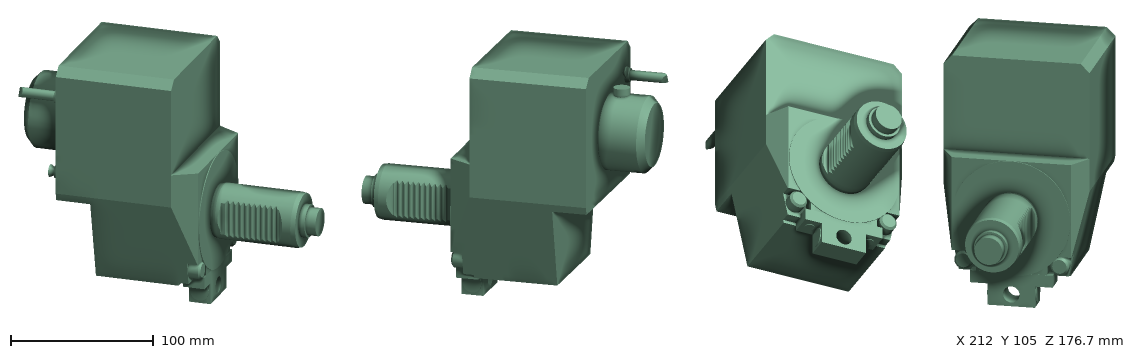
import cadquery as cq
import math


body_width = 105.0
half_width = body_width / 2
top_z = 112.0
top_chamfer = 6.4
block_left = -103.0
block_right = -17.4
block_bottom = 13.0
lower_left = -77.8
lower_bottom = -45.0
taper_start_z = 18.2
side_taper = 12.0
step_z = 42.5
bevel_angle = 30.0

disc_radius = 42.5
disc_thick = 0.6
back_face = -disc_thick

nose_z = 59.5
nose_left = -137.0
nose_right = -104.3
nose_radius = 27.5
nose_chamfer = 4.9
neck_radius = 24.8
key_x = -113.0
key_radius = 6.0
key_top = 92.5

nozzle_y = -43.9
upper_nozzle_z = 87.8
lower_nozzle_z = 31.5
seat_radius = 5.5
seat_height = 3.0
tube_radius = 3.5
tube_end = -133.1
tube_tip_turn = 30.0
plug_neck_radius = 2.5
plug_head_radius = 4.7
plug_end = -110.0
screw_y = -36.5
upper_screw_z = 92.0
lower_screw_z = 27.3
screw_radius = 4.0
screw_rim = 0.5
screw_cone = 2.0

shank_radius = 20.0
relief_radius = 19.3
relief_end = 1.3
front_chamfer_end = 3.8
rear_chamfer_start = 59.8
shank_end = 63.2
pilot_radius = 11.9
pilot_end = 67.6
tip_radius = 10.0
tip_end = 75.0

crest_y = 16.1
valley_y = 14.5
valley_count = 10
first_valley = 11.7
last_valley = 47.5
valley_half_width = 1.7
flat_start = 7.0
flat_start_bevel = 1.3
flat_end_outer = 53.8

lug_left = -16.5
lug_right = -0.5
lug_half_width = 17.0
lug_bottom = -64.7
flange_half_width = 29.7
flange_bottom = -49.0
lug_recess_top = -42.6
lug_step_x = -9.0
lug_step_top = -40.0
lug_hole_z = -56.0
lug_hole_radius = 6.0
lug_boss_radius = 6.8
lug_boss_height = 0.6
plug_y = 23.0
bottom_plug_radius = 3.5
bottom_plug_height = 0.5

pocket_top = -26.0
pocket_inner_y = 25.5
clamp_y = 34.5
clamp_z = -33.0
clamp_radius = 6.5
clamp_chamfer = 1.5


def box(x0, x1, y0, y1, z0, z1):
    return cq.Workplane("XY").box(x1 - x0, y1 - y0, z1 - z0, centered=False).translate((x0, y0, z0))


def turned(profile, y=0.0, z=0.0):
    """Solid of revolution about X from (x, radius) points, moved to the axis at (y, z)."""
    points = [(profile[0][0], 0)] + profile + [(profile[-1][0], 0)]
    solid = cq.Workplane("XY").polyline(points).close().revolve(360, (0, 0, 0), (1, 0, 0))
    return solid.translate((0, y, z))


def make_body():
    bottom_half = half_width - (taper_start_z - lower_bottom) * math.tan(math.radians(side_taper))
    right_side = [
        (bottom_half, lower_bottom),
        (half_width, taper_start_z),
        (half_width, top_z - top_chamfer),
        (half_width - top_chamfer, top_z),
    ]
    left_side = [(-y, z) for y, z in reversed(right_side)]
    section = cq.Workplane("YZ", origin=(block_left, 0, 0)).polyline(right_side + left_side).close()
    body = section.extrude(back_face - block_left)

    bevel_depth = (back_face - block_right) * math.tan(math.radians(bevel_angle))
    back_half = half_width - bevel_depth
    plan = (
        cq.Workplane("XY", origin=(0, 0, lower_bottom))
        .polyline([
            (block_left, -half_width),
            (block_right, -half_width),
            (back_face, -back_half),
            (back_face, back_half),
            (block_right, half_width),
            (block_left, half_width),
        ])
        .close()
        .extrude(top_z - lower_bottom)
    )
    body = body.intersect(plan)
    body = body.cut(box(block_left, lower_left, -half_width, half_width, lower_bottom, block_bottom))
    body = body.cut(box(block_right, back_face, -half_width, half_width, step_z, top_z))
    return body.union(turned([(back_face, disc_radius), (0, disc_radius)]))


def make_nose():
    nose = turned(
        [
            (nose_left, nose_radius - nose_chamfer),
            (nose_left + nose_chamfer, nose_radius),
            (nose_right, nose_radius),
            (nose_right, neck_radius),
            (block_left, neck_radius),
        ],
        z=nose_z,
    )
    key = cq.Workplane("XY", origin=(key_x, 0, nose_z)).circle(key_radius).extrude(key_top - nose_z)
    return nose.union(key)


def make_nozzle_seat(z):
    """Dome centred on the block face, cut flat where the tube or plug enters it."""
    seat_top = block_left - seat_height
    flat_radius = math.sqrt(seat_radius**2 - seat_height**2)
    mid_angle = math.asin(seat_height / seat_radius) / 2
    mid_point = (
        block_left - seat_radius * math.sin(mid_angle),
        seat_radius * math.cos(mid_angle),
    )
    dome = (
        cq.Workplane("XY")
        .moveTo(block_left, 0)
        .lineTo(seat_top, 0)
        .lineTo(seat_top, flat_radius)
        .threePointArc(mid_point, (block_left, seat_radius))
        .close()
        .revolve(360, (0, 0, 0), (1, 0, 0))
    )
    return dome.translate((0, nozzle_y, z))


def make_tube():
    """Coolant tube with a wedge-shaped tip whose ridge is turned about the tube axis."""
    wedge_x = tube_end + tube_radius
    tube = turned([(tube_end, tube_radius), (block_left, tube_radius)])
    wedge = (
        cq.Workplane("XY", origin=(0, 0, -tube_radius))
        .polyline([
            (tube_end, 0),
            (wedge_x, -tube_radius),
            (block_left, -tube_radius),
            (block_left, tube_radius),
            (wedge_x, tube_radius),
        ])
        .close()
        .extrude(2 * tube_radius)
        .rotate((0, 0, 0), (1, 0, 0), -tube_tip_turn)
    )
    return tube.intersect(wedge).translate((0, nozzle_y, upper_nozzle_z))


def make_plug():
    return turned(
        [
            (plug_end, plug_head_radius),
            (block_left - seat_height, plug_neck_radius),
            (block_left, plug_neck_radius),
        ],
        nozzle_y,
        lower_nozzle_z,
    )


def make_screw_head(z):
    cone_start = block_left - screw_cone
    return turned(
        [
            (cone_start - screw_rim, screw_radius),
            (cone_start, screw_radius),
            (block_left, screw_radius - screw_cone),
        ],
        screw_y,
        z,
    )


def make_serration_cutter():
    """Material removed from the +Y flank: a flat with V grooves and a 45 degree run-out."""
    pitch = (last_valley - first_valley) / (valley_count - 1)
    floor = [
        (flat_start - flat_start_bevel, shank_radius),
        (flat_start, shank_radius - flat_start_bevel),
        (flat_start, crest_y),
    ]
    for i in range(valley_count):
        valley_x = first_valley + i * pitch
        floor.append((valley_x - valley_half_width, crest_y))
        floor.append((valley_x, valley_y))
        floor.append((valley_x + valley_half_width, crest_y))
    runout_start = flat_end_outer - (shank_radius - crest_y)
    floor.append((runout_start, crest_y))
    floor.append((flat_end_outer, shank_radius))
    return (
        cq.Workplane("XY", origin=(0, 0, -shank_radius))
        .polyline(floor)
        .close()
        .extrude(2 * shank_radius)
    )


def make_shank():
    shank = turned([
        (0, relief_radius),
        (relief_end, relief_radius),
        (front_chamfer_end, shank_radius),
        (rear_chamfer_start, shank_radius),
        (shank_end, relief_radius),
        (shank_end, pilot_radius),
        (pilot_end, pilot_radius),
        (pilot_end, tip_radius),
        (tip_end, tip_radius),
    ])
    cutter = make_serration_cutter()
    return shank.cut(cutter).cut(cutter.mirror("XZ"))


def cut_lug_recess(body):
    body = body.cut(box(lug_left, back_face, -half_width, half_width, lower_bottom, lug_recess_top))
    body = body.cut(box(lug_step_x, back_face, -half_width, half_width, lower_bottom, lug_step_top))
    pocket = box(lug_step_x, back_face, pocket_inner_y, half_width, lug_step_top, pocket_top)
    return body.cut(pocket).cut(pocket.mirror("XZ"))


def make_lug():
    center_x = (lug_left + lug_right) / 2
    lug = box(lug_left, lug_right, -flange_half_width, flange_half_width, flange_bottom, lug_recess_top)
    lug = lug.union(
        box(lug_step_x, lug_right, -flange_half_width, flange_half_width, flange_bottom, lug_step_top)
    )
    lug = lug.union(box(lug_left, lug_right, -lug_half_width, lug_half_width, lug_bottom, flange_bottom))
    boss_half = lug_half_width + lug_boss_height
    side_boss = (
        cq.Workplane("XZ", origin=(center_x, -boss_half, lug_hole_z))
        .circle(lug_boss_radius)
        .extrude(-2 * boss_half)
    )
    bottom_plugs = (
        cq.Workplane("XY", origin=(center_x, 0, flange_bottom - bottom_plug_height))
        .pushPoints([(0, -plug_y), (0, plug_y)])
        .circle(bottom_plug_radius)
        .extrude(2 * bottom_plug_height)
    )
    hole = turned([(lug_left, lug_hole_radius), (lug_right, lug_hole_radius)], z=lug_hole_z)
    return lug.union(side_boss).union(bottom_plugs).cut(hole)


def make_clamp_screw(side):
    return turned(
        [
            (lug_step_x, clamp_radius),
            (-clamp_chamfer, clamp_radius),
            (0, clamp_radius - clamp_chamfer),
        ],
        side * clamp_y,
        clamp_z,
    )


result = cut_lug_recess(make_body())
result = result.union(make_lug())
for side in (-1, 1):
    result = result.union(make_clamp_screw(side))
result = result.union(make_shank())
result = result.union(make_nose())
for seat_z in (upper_nozzle_z, lower_nozzle_z):
    result = result.union(make_nozzle_seat(seat_z))
result = result.union(make_tube())
result = result.union(make_plug())
for screw_z in (upper_screw_z, lower_screw_z):
    result = result.union(make_screw_head(screw_z))